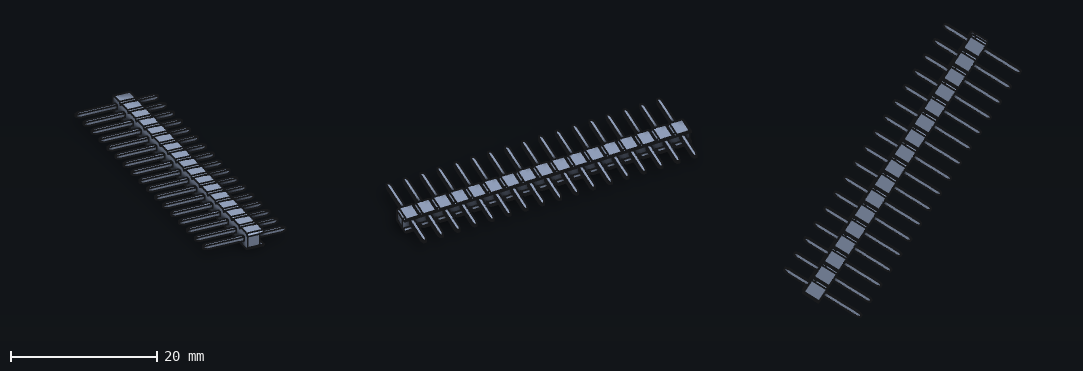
import cadquery as cq

length = 43.2
segment_count = 17
pitch = length / segment_count
height = 2.5
depth = 2.5
chamfer_width = 0.3
chamfer_height = 0.375

channel_depth = 0.65
lip_thickness = 0.325

pin_width = 0.6
pin_tip_width = 0.35
pin_tip_length = 0.5
pin_front_length = 6.1
pin_rear_length = 3.8
pin_offset_x = -0.095

pin_front_y = -pin_front_length
pin_rear_y = depth + pin_rear_length
pin_length = pin_rear_y - pin_front_y


def segment_center(index):
    return (index - (segment_count - 1) / 2) * pitch


def make_segment(x):
    """One housing segment with its four lengthwise corners chamfered."""
    side_x = pitch / 2
    top_z = height / 2
    flat_x = side_x - chamfer_width
    flat_z = top_z - chamfer_height
    outline = [
        (side_x, -flat_z),
        (side_x, flat_z),
        (flat_x, top_z),
        (-flat_x, top_z),
        (-side_x, flat_z),
        (-side_x, -flat_z),
        (-flat_x, -top_z),
        (flat_x, -top_z),
    ]
    return cq.Workplane("XZ").polyline(outline).close().extrude(-depth).translate((x, 0, 0))


def make_channel():
    """Full-length cutter that opens the rear face of the housing."""
    return (
        cq.Workplane("XY")
        .box(length, channel_depth, height - 2 * lip_thickness)
        .translate((0, depth - channel_depth / 2, 0))
    )


def make_pin_tip(x, base_y, direction):
    """Tapered pin end, narrowing from base_y in the given Y direction."""
    normal = (0, direction, 0)
    base = cq.Plane(origin=(x, base_y, 0), xDir=(1, 0, 0), normal=normal)
    return (
        cq.Workplane(base)
        .rect(pin_width, pin_width)
        .workplane(offset=pin_tip_length)
        .rect(pin_tip_width, pin_tip_width)
        .loft(ruled=True)
    )


def make_pin(x):
    """Square pin with a tapered tip at each end."""
    middle_y = (pin_front_y + pin_rear_y) / 2
    shank_length = pin_length - 2 * pin_tip_length
    shank = cq.Workplane("XY").box(pin_width, shank_length, pin_width).translate((x, middle_y, 0))
    front_tip = make_pin_tip(x, pin_front_y + pin_tip_length, -1)
    rear_tip = make_pin_tip(x, pin_rear_y - pin_tip_length, 1)
    return shank.union(front_tip).union(rear_tip)


centers = [segment_center(index) for index in range(segment_count)]

housing = make_segment(centers[0])
for center in centers[1:]:
    housing = housing.union(make_segment(center))
housing = housing.cut(make_channel())

result = housing
for center in centers:
    result = result.union(make_pin(center + pin_offset_x))